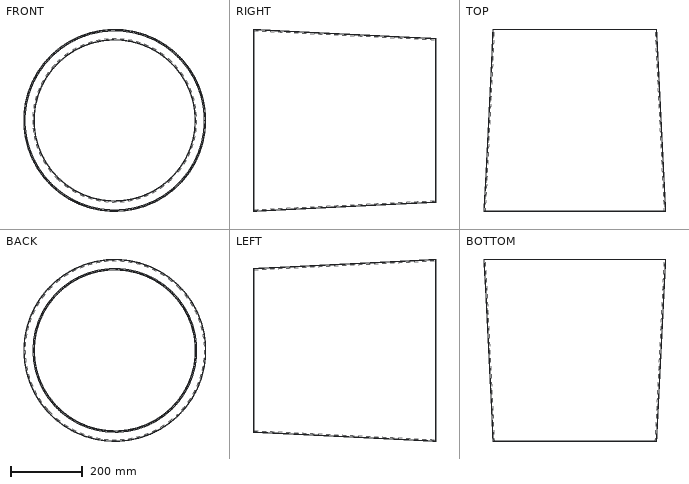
import cadquery as cq

length = 508.0
large_diameter = 508.0
small_diameter = 457.0
wall = 4.0

large_radius = large_diameter / 2
small_radius = small_diameter / 2
front_y = -length / 2
back_y = length / 2

wall_section = (
    cq.Workplane("XY")
    .moveTo(large_radius, front_y)
    .lineTo(small_radius, back_y)
    .lineTo(small_radius - wall, back_y)
    .lineTo(large_radius - wall, front_y)
    .close()
)

result = wall_section.revolve(360, (0, 0, 0), (0, 1, 0))